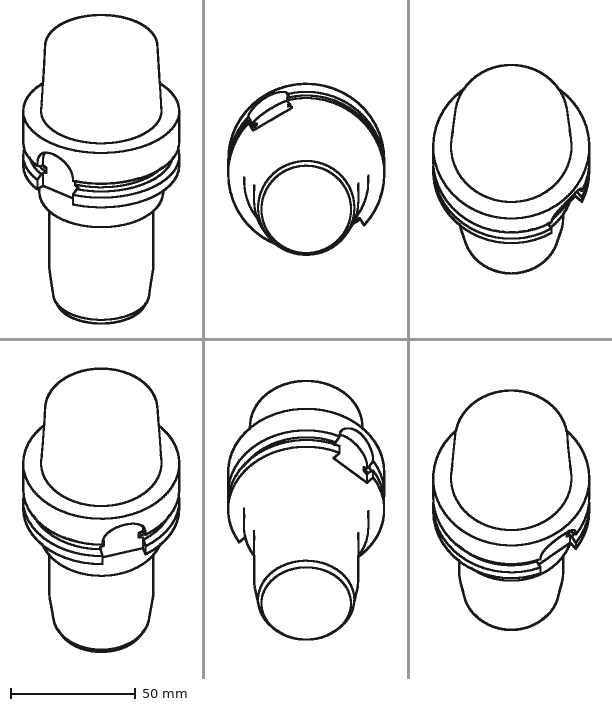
import cadquery as cq
import math

total_height = 122.0
flange_top = 90.0
flange_bottom = 64.0
collar_bottom = 49.5
nose_taper_start = 15.1
nose_bevel_start = 2.7

flange_radius = 63.0 / 2
collar_radius = 50.0 / 2
body_radius = 42.0 / 2
nose_bevel_radius = 19.4
nose_end_radius = 18.0
shank_base_radius = 24.3
shank_top_radius = 22.7

shank_round = 1.1
flange_root_round = 1.0
collar_round = 2.1
body_root_round = 1.5

groove_height = 72.0
groove_mouth_width = 6.6
groove_channel_width = 3.8
groove_floor_radius = 27.5
groove_corner_round = 1.0
groove_flank_angle = math.radians(30)

slot_width = 18.2
slot_top = 85.2
slot_floor_distance = 26.5


def make_body():
    """Revolve the stepped outline: nose, body, collar, flange and tapered shank."""
    corner = math.sqrt(0.5)
    flange_root_center = (collar_radius + flange_root_round, flange_bottom - flange_root_round)
    collar_center = (collar_radius - collar_round, collar_bottom + collar_round)
    body_root_center = (body_radius + body_root_round, collar_bottom - body_root_round)
    shank_center = (shank_top_radius - shank_round, total_height - shank_round)
    outline = (
        cq.Workplane("XZ")
        .moveTo(0, 0)
        .lineTo(nose_end_radius, 0)
        .lineTo(nose_bevel_radius, nose_bevel_start)
        .lineTo(body_radius, nose_taper_start)
        .lineTo(body_radius, body_root_center[1])
        .threePointArc(
            (body_root_center[0] - corner * body_root_round, body_root_center[1] + corner * body_root_round),
            (body_root_center[0], collar_bottom),
        )
        .lineTo(collar_center[0], collar_bottom)
        .threePointArc(
            (collar_center[0] + corner * collar_round, collar_center[1] - corner * collar_round),
            (collar_radius, collar_center[1]),
        )
        .lineTo(collar_radius, flange_root_center[1])
        .threePointArc(
            (
                flange_root_center[0] - corner * flange_root_round,
                flange_root_center[1] + corner * flange_root_round,
            ),
            (flange_root_center[0], flange_bottom),
        )
        .lineTo(flange_radius, flange_bottom)
        .lineTo(flange_radius, flange_top)
        .lineTo(shank_base_radius, flange_top)
        .lineTo(shank_top_radius, shank_center[1])
        .threePointArc(
            (shank_center[0] + corner * shank_round, shank_center[1] + corner * shank_round),
            (shank_center[0], total_height),
        )
        .lineTo(0, total_height)
        .close()
    )
    return outline.revolve(360, (0, 0), (0, 1))


def make_groove():
    """Ring with sloped flanks leading into a narrower channel with rounded floor corners."""
    half_mouth = groove_mouth_width / 2
    half_channel = groove_channel_width / 2
    flank_inner_radius = flange_radius - (half_mouth - half_channel) / math.tan(groove_flank_angle)
    channel = (
        cq.Workplane("XY", origin=(0, 0, groove_height - half_channel))
        .circle(flange_radius)
        .circle(groove_floor_radius)
        .extrude(groove_channel_width)
        .edges(cq.selectors.RadiusNthSelector(0))
        .fillet(groove_corner_round)
    )
    flanks = (
        cq.Workplane("XZ")
        .polyline([
            (flank_inner_radius, groove_height - half_channel),
            (flange_radius, groove_height - half_mouth),
            (flange_radius, groove_height + half_mouth),
            (flank_inner_radius, groove_height + half_channel),
        ])
        .close()
        .revolve(360, (0, 0), (0, 1))
    )
    return channel.union(flanks)


def make_slot(side):
    """Round-topped cutter open through the flange underside, on the +Y or -Y side."""
    half_width = slot_width / 2
    arch_center = slot_top - half_width
    return (
        cq.Workplane("XZ", origin=(0, side * slot_floor_distance, 0))
        .moveTo(-half_width, flange_bottom)
        .lineTo(half_width, flange_bottom)
        .lineTo(half_width, arch_center)
        .threePointArc((0, slot_top), (-half_width, arch_center))
        .close()
        .extrude(-side * (flange_radius - slot_floor_distance))
    )


result = make_body().cut(make_groove())
for side in (-1, 1):
    result = result.cut(make_slot(side))